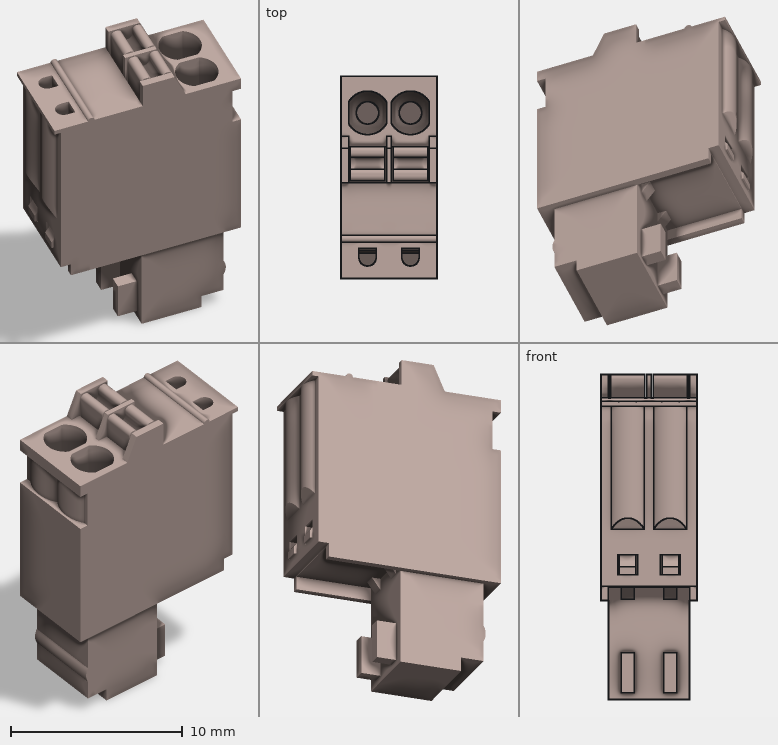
import cadquery as cq
import math


width = 5.6
depth = 11.8
height = 18.95
pole_pitch = 2.5
pole_centres = [-pole_pitch / 2, pole_pitch / 2]

housing_bottom = 5.76
housing_top = 17.38
front_face = 0.4
lip_thickness = 0.28
foot_front = 1.05
foot_top = 6.61
tower_front = 5.59
tower_rear_top = 7.6
tower_rear_base = 8.3
bead_centre = 2.33
bead_radius = 0.2

column_pitch = 2.46
column_width = 1.91
column_bottom = 9.93
column_bevel_height = 0.65

notch_floor = 11.28
notch_bottom = 14.2
notch_top = 16.58
rear_bulge = 0.38

funnel_y = 9.66
funnel_diameter = 2.54
funnel_straight_depth = 2.27
funnel_cone_depth = 1.14
wire_diameter = 1.3

slot_width = 2.22
slot_floor = 16.1
lever_width = 2.0
lever_front = 5.72
lever_rear = 7.7
groove_front = 6.39
groove_rear = 7.09
groove_wall_depth = 0.55
lever_round = 0.27

probe_width = 1.0
probe_front = 0.74
probe_rear = 1.76
probe_depth = 3.41
probe_valley = 1.5
probe_ledge = 1.67
probe_front_rise = 0.17
probe_rear_rise = 0.38

window_pitch = 2.46
window_width = 1.17
window_bottom = 7.28
window_top = 8.43
window_depth = 1.14
latch_width = 0.97
latch_inset = 0.08
latch_front = 0.27
latch_nose_top = 7.73
latch_slope = 38.0

contact_width = 1.52
contact_front = 8.81
contact_rear = 10.52
contact_ridge = 9.5
contact_ridge_top = 12.89
contact_bottom = 10.42
contact_front_slope = 34.0
contact_rear_slope = 26.0

plug_width = 4.74
plug_front = 5.7
plug_rear = 10.9
plug_top = 6.55
plug_step_y = 9.5
plug_step_height = 0.85
snap_bottom = 2.1
snap_top = 3.1
snap_height = 0.13
rib_width = 0.75
rib_front = 4.51
rib_bottom = 0.4
rib_top = 2.73
gusset_reach = 0.53
gusset_bottom = 5.85


def block(x0, x1, y0, y1, z0, z1):
    """Axis-aligned box between the given limits."""
    return cq.Workplane("XY").box(x1 - x0, y1 - y0, z1 - z0, centered=False).translate((x0, y0, z0))


def centred_block(x_centre, x_width, y0, y1, z0, z1):
    """Axis-aligned box placed by its middle and width along X."""
    return block(x_centre - x_width / 2, x_centre + x_width / 2, y0, y1, z0, z1)


def extrude_across(profile, x_centre, x_width):
    """Extrude a closed Y-Z profile along X, centred on x_centre."""
    return profile.extrude(x_width).translate((x_centre - x_width / 2, 0, 0))


def prism(points, x_centre, x_width):
    """Polygon of (Y, Z) points extruded along X."""
    return extrude_across(cq.Workplane("YZ").polyline(points).close(), x_centre, x_width)


def bulge(x_centre, half_width, y_base, y_crest, z0, z1):
    """Upright circular segment rising from a flat face at y_base to a crest at y_crest."""
    return (
        cq.Workplane("XY", origin=(x_centre, 0, z0))
        .moveTo(-half_width, y_base)
        .threePointArc((0, y_crest), (half_width, y_base))
        .close()
        .extrude(z1 - z0)
    )


def housing_shell():
    """Solid housing outline with the lever tower, the lip and the stepped front underside."""
    outline = [
        (foot_front, housing_bottom),
        (foot_front, foot_top),
        (front_face, foot_top),
        (front_face, housing_top - lip_thickness),
        (0, housing_top - lip_thickness),
        (0, housing_top),
        (tower_front, housing_top),
        (tower_front, height),
        (tower_rear_top, height),
        (tower_rear_base, housing_top),
        (depth, housing_top),
        (depth, notch_top),
        (notch_floor, notch_top),
        (notch_floor, notch_bottom),
        (depth, notch_bottom),
        (depth, housing_bottom),
    ]
    bead = extrude_across(
        cq.Workplane("YZ").center(bead_centre, housing_top).circle(bead_radius), 0, width
    )
    return prism(outline, 0, width).union(bead)


def front_column(x_centre):
    """Bulged column under the lip, bevelled at its lower end."""
    column = bulge(
        x_centre, column_width / 2, front_face, 0, column_bottom, housing_top - lip_thickness
    )
    bevel = prism(
        [(0, column_bottom), (front_face, column_bottom), (0, column_bottom + column_bevel_height)],
        x_centre,
        column_width,
    )
    return column.cut(bevel)


def rear_column(x_centre):
    """Bulge on the floor of the rear notch."""
    return bulge(
        x_centre, pole_pitch / 2, notch_floor, notch_floor + rear_bulge, notch_bottom, notch_top
    )


def wire_funnel(x_centre):
    """Wire entry: flat-sided round well, then a cone, then a round hole down to the contact."""
    cone_top = housing_top - funnel_straight_depth
    cone_bottom = cone_top - funnel_cone_depth
    hole_drop = wire_diameter / 2 + funnel_y - contact_ridge
    hole_bottom = contact_ridge_top - hole_drop * math.tan(math.radians(contact_rear_slope))
    funnel = (
        cq.Workplane("XZ")
        .moveTo(0, housing_top)
        .lineTo(funnel_diameter / 2, housing_top)
        .lineTo(funnel_diameter / 2, cone_top)
        .lineTo(wire_diameter / 2, cone_bottom)
        .lineTo(wire_diameter / 2, hole_bottom)
        .lineTo(0, hole_bottom)
        .close()
        .revolve(360, (0, 0, 0), (0, 1, 0))
        .translate((x_centre, funnel_y, 0))
    )
    return funnel.intersect(
        centred_block(x_centre, slot_width, 0, depth, hole_bottom, housing_top)
    )


def lever_slot(x_centre):
    """Slot for a lever, open at the front and back of the tower above the top face."""
    profile = [
        (tower_front, slot_floor),
        (tower_front, height),
        (tower_rear_base, height),
        (tower_rear_base, housing_top),
        (lever_rear, housing_top),
        (lever_rear, slot_floor),
    ]
    return prism(profile, x_centre, slot_width)


def probe_slot(x_centre):
    """Slot with a round front end and a V-shaped floor, open to the top face."""
    floor = housing_top - probe_depth
    end_radius = probe_width / 2
    plan = (
        cq.Workplane("XY", origin=(x_centre, 0, floor))
        .moveTo(-end_radius, probe_rear)
        .lineTo(-end_radius, probe_front + end_radius)
        .threePointArc((0, probe_front), (end_radius, probe_front + end_radius))
        .lineTo(end_radius, probe_rear)
        .close()
        .extrude(probe_depth)
    )
    side_profile = [
        (probe_front, housing_top),
        (probe_front, floor + probe_front_rise),
        (probe_valley, floor),
        (probe_ledge, floor + probe_rear_rise),
        (probe_rear, floor + probe_rear_rise),
        (probe_rear, housing_top),
    ]
    return plan.intersect(prism(side_profile, x_centre, probe_width))


def make_housing():
    housing = housing_shell()
    for side in (-1, 1):
        housing = housing.union(front_column(side * column_pitch / 2))
        housing = housing.cut(
            centred_block(
                side * window_pitch / 2,
                window_width,
                front_face,
                front_face + window_depth,
                window_bottom,
                window_top,
            )
        )
    for x_centre in pole_centres:
        housing = housing.union(rear_column(x_centre))
        housing = housing.cut(wire_funnel(x_centre))
        housing = housing.cut(lever_slot(x_centre))
        housing = housing.cut(probe_slot(x_centre))
        housing = housing.cut(make_contact(x_centre))
    plug_recess = centred_block(0, plug_width, foot_front, plug_rear, housing_bottom, plug_top)
    return housing.cut(plug_recess)


def make_lever(x_centre):
    """Lever head with two rounded ridges and a round-bottomed groove between them."""
    groove_radius = (groove_rear - groove_front) / 2
    groove_middle = (groove_rear + groove_front) / 2
    wall_bottom = height - groove_wall_depth
    profile = (
        cq.Workplane("YZ")
        .moveTo(lever_front, slot_floor)
        .lineTo(lever_front, height)
        .lineTo(groove_front, height)
        .lineTo(groove_front, wall_bottom)
        .threePointArc((groove_middle, wall_bottom - groove_radius), (groove_rear, wall_bottom))
        .lineTo(groove_rear, height)
        .lineTo(lever_rear, height)
        .lineTo(lever_rear, slot_floor)
        .close()
    )
    return extrude_across(profile, x_centre, lever_width).faces(">Z").edges("|X").fillet(lever_round)


def make_latch(side):
    """Latch in a front window, with a sloped upper face and a blunt nose."""
    slope_run = (window_top - latch_nose_top) * math.tan(math.radians(latch_slope))
    latch_rear = front_face + window_depth
    profile = [
        (latch_front, window_bottom),
        (latch_front, latch_nose_top),
        (latch_front + slope_run, window_top),
        (latch_rear, window_top),
        (latch_rear, window_bottom),
    ]
    window_outer_side = window_pitch / 2 + window_width / 2
    return prism(profile, side * (window_outer_side - latch_inset - latch_width / 2), latch_width)


def make_contact(x_centre):
    """Clamping contact whose two-facet top falls towards the back below the wire hole."""
    front_rise = (contact_ridge - contact_front) * math.tan(math.radians(contact_front_slope))
    rear_fall = (contact_rear - contact_ridge) * math.tan(math.radians(contact_rear_slope))
    profile = [
        (contact_front, contact_bottom),
        (contact_front, contact_ridge_top + front_rise),
        (contact_ridge, contact_ridge_top),
        (contact_rear, contact_ridge_top - rear_fall),
        (contact_rear, contact_bottom),
    ]
    return prism(profile, x_centre, contact_width)


def make_plug():
    """Plug with a stepped rear underside, a snap bead behind, and ribs and gussets in front."""
    profile = (
        cq.Workplane("YZ")
        .moveTo(plug_front, 0)
        .lineTo(plug_step_y, 0)
        .lineTo(plug_step_y, plug_step_height)
        .lineTo(plug_rear, plug_step_height)
        .lineTo(plug_rear, snap_bottom)
        .threePointArc(
            (plug_rear + snap_height, (snap_bottom + snap_top) / 2), (plug_rear, snap_top)
        )
        .lineTo(plug_rear, plug_top)
        .lineTo(plug_front, plug_top)
        .close()
    )
    plug = extrude_across(profile, 0, plug_width)
    for x_centre in pole_centres:
        rib = centred_block(x_centre, rib_width, rib_front, plug_front, rib_bottom, rib_top)
        gusset = prism(
            [
                (plug_front, gusset_bottom),
                (plug_front, plug_top),
                (plug_front - gusset_reach, plug_top),
            ],
            x_centre,
            rib_width,
        )
        plug = plug.union(rib).union(gusset)
    return plug


housing = make_housing()
plug = make_plug()
levers = [make_lever(x_centre) for x_centre in pole_centres]
latches = [make_latch(side) for side in (-1, 1)]
contacts = [make_contact(x_centre) for x_centre in pole_centres]

result = cq.Compound.makeCompound(
    [body.solids().val() for body in [housing, plug, *levers, *latches, *contacts]]
)